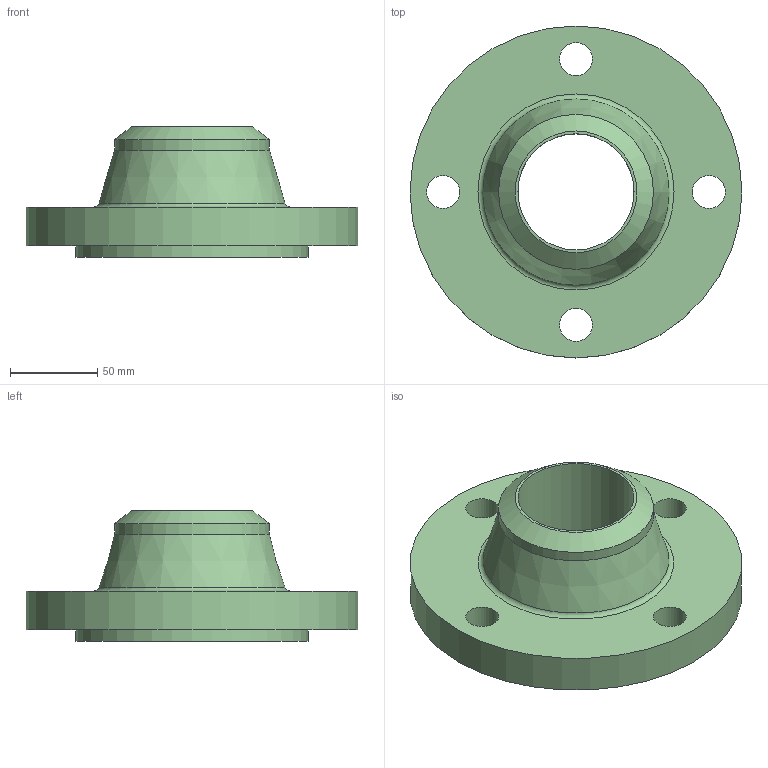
import cadquery as cq
import math

flange_diameter = 190.5
flange_thickness = 22.35
face_diameter = 133.35
face_height = 6.35

bolt_circle_diameter = 152.4
bolt_hole_diameter = 19.0
bolt_hole_count = 4

overall_height = 74.68
hub_base_diameter = 108.0
pipe_diameter = 88.9
pipe_wall = 11.13
neck_height = 6.0
hub_fillet_radius = 3.0

bevel_angle = 37.5
land_width = 1.6

bore_diameter = pipe_diameter - 2 * pipe_wall
land_radius = bore_diameter / 2 + land_width
bevel_height = (pipe_diameter / 2 - land_radius) * math.tan(math.radians(bevel_angle))
flange_top = face_height + flange_thickness
bevel_start = overall_height - bevel_height
hub_top = bevel_start - neck_height


def flange_plate():
    """Round plate standing on its raised face, whose underside is at Z = 0."""
    face = cq.Workplane("XY").circle(face_diameter / 2).extrude(face_height)
    plate = (
        cq.Workplane("XY")
        .workplane(offset=face_height)
        .circle(flange_diameter / 2)
        .extrude(flange_thickness)
    )
    return face.union(plate)


def welding_neck():
    """Tapered hub, short straight neck and weld bevel, revolved about Z."""
    return (
        cq.Workplane("XZ")
        .moveTo(0, flange_top)
        .lineTo(hub_base_diameter / 2, flange_top)
        .lineTo(pipe_diameter / 2, hub_top)
        .lineTo(pipe_diameter / 2, bevel_start)
        .lineTo(land_radius, overall_height)
        .lineTo(0, overall_height)
        .close()
        .revolve(360, (0, 0, 0), (0, 1, 0))
    )


def hub_root_edge():
    """Selector for the circle where the hub meets the top of the plate."""
    tolerance = 0.1
    reach = hub_base_diameter / 2 + tolerance
    return cq.selectors.BoxSelector(
        (-reach, -reach, flange_top - tolerance),
        (reach, reach, flange_top + tolerance),
        boundingbox=True,
    )


def bolt_holes():
    """Through holes on the bolt circle, the first one on the +X axis."""
    return (
        cq.Workplane("XY")
        .polarArray(bolt_circle_diameter / 2, 0, 360, bolt_hole_count)
        .circle(bolt_hole_diameter / 2)
        .extrude(flange_top)
    )


def bore():
    """Straight bore through the full height."""
    return cq.Workplane("XY").circle(bore_diameter / 2).extrude(overall_height)


body = flange_plate().union(welding_neck())
body = body.edges(hub_root_edge()).fillet(hub_fillet_radius)
result = body.cut(bore()).cut(bolt_holes())